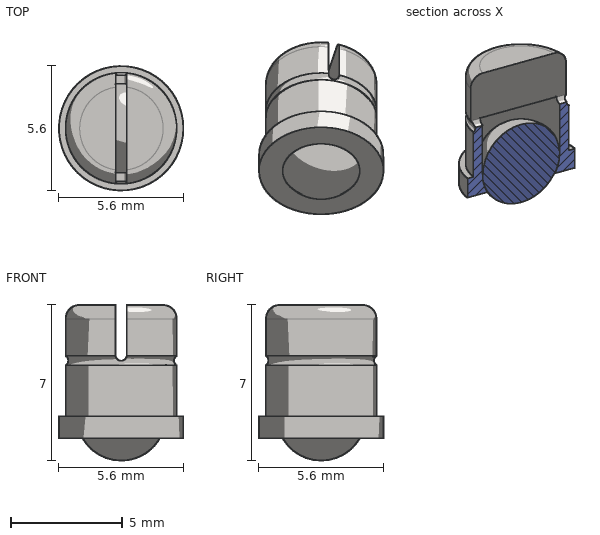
import cadquery as cq

total_height = 7.0
flange_diameter = 5.6
flange_height = 1.0
body_diameter = 5.0
top_fillet = 0.62
ball_diameter = 4.005
ball_protrusion = 1.0
slot_width = 0.5
slot_floor_z = 4.495
groove_width = 0.43
groove_depth = 0.12

body_radius = body_diameter / 2
flange_radius = flange_diameter / 2
ball_radius = ball_diameter / 2
flange_top_z = ball_protrusion + flange_height
slot_round_z = slot_floor_z + slot_width / 2
groove_z = slot_floor_z


def make_ball():
    """Ball whose lowest point rests at Z = 0."""
    return cq.Workplane("XY").sphere(ball_radius).translate((0, 0, ball_radius))


def make_outer_shape():
    """Turned shape: flange, body with an arc-shaped groove, rounded top edge."""
    profile = (
        cq.Workplane("XZ")
        .moveTo(0, ball_protrusion)
        .lineTo(flange_radius, ball_protrusion)
        .lineTo(flange_radius, flange_top_z)
        .lineTo(body_radius, flange_top_z)
        .lineTo(body_radius, groove_z - groove_width / 2)
        .threePointArc(
            (body_radius - groove_depth, groove_z),
            (body_radius, groove_z + groove_width / 2),
        )
        .lineTo(body_radius, total_height)
        .lineTo(0, total_height)
        .close()
    )
    return profile.revolve().faces(">Z").edges().fillet(top_fillet)


def make_cavity():
    """Spherical seat that retains the ball, with a cylindrical bore above it."""
    bore_height = slot_round_z - ball_radius
    bore = (
        cq.Workplane("XY")
        .workplane(offset=ball_radius)
        .circle(ball_radius)
        .extrude(bore_height)
    )
    return make_ball().union(bore)


def make_slot():
    """Slot across the top along Y, with a fully rounded floor."""
    slot_height = total_height - slot_round_z
    straight_part = (
        cq.Workplane("XY")
        .workplane(offset=slot_round_z)
        .rect(slot_width, body_diameter)
        .extrude(slot_height)
    )
    round_floor = (
        cq.Workplane("XZ")
        .center(0, slot_round_z)
        .circle(slot_width / 2)
        .extrude(body_radius, both=True)
    )
    return straight_part.union(round_floor)


def make_housing():
    """Flanged housing with its ball cavity and slot."""
    return make_outer_shape().cut(make_cavity()).cut(make_slot())


housing = make_housing()
ball = make_ball()

result = cq.Compound.makeCompound([housing.val(), ball.val()])